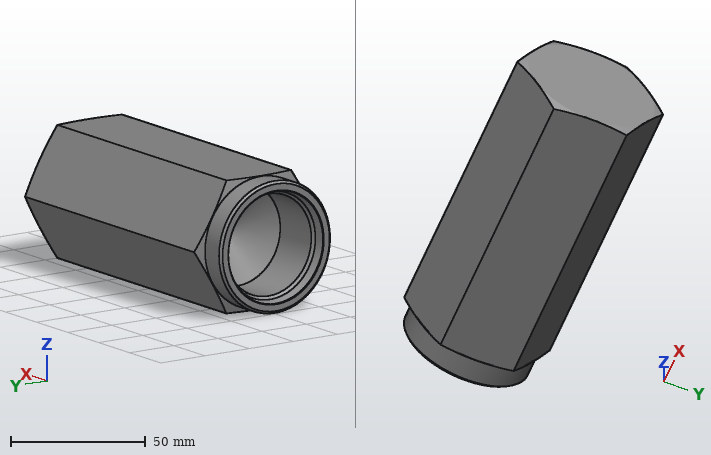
import cadquery as cq
import math

length = 121.4
across_flats = 50.7
hexagon_half_angle = 30.0
across_corners = across_flats / math.cos(math.radians(hexagon_half_angle))

collar_diameter = 50.4
collar_length = 10.0
collar_chamfer = 1.0

corner_trim_angle = 17.0

mouth_diameter = 42.9
mouth_chamfer = 0.2
mouth_end_diameter = 41.2
mouth_depth = 3.9
bore_diameter = 39.0
bore_depth = 25.0
drill_point_angle = 118.0


def revolve_about_x(points):
    """Revolve a closed outline of (x, radius) points about the X axis."""
    return cq.Workplane("XY").polyline(points).close().revolve(360, (0, 0, 0), (1, 0, 0))


def make_hexagon():
    """Hexagonal bar with flats facing up and down and conically trimmed ends."""
    corner_radius = across_corners / 2
    flat_radius = across_flats / 2
    trim_length = (corner_radius - flat_radius) * math.tan(math.radians(corner_trim_angle))
    bar = (
        cq.Workplane("YZ", origin=(collar_length, 0, 0))
        .polygon(6, across_corners)
        .extrude(length - collar_length)
    )
    envelope = revolve_about_x([
        (collar_length, 0),
        (collar_length, flat_radius),
        (collar_length + trim_length, corner_radius),
        (length - trim_length, corner_radius),
        (length, flat_radius),
        (length, 0),
    ])
    return bar.intersect(envelope)


def make_collar():
    """Round collar with a chamfered front rim."""
    collar = cq.Workplane("YZ").circle(collar_diameter / 2).extrude(collar_length)
    return collar.faces("<X").edges().chamfer(collar_chamfer)


def make_bore():
    """Chamfered and tapered mouth, 45 degree step, straight bore and drill point."""
    mouth_radius = mouth_diameter / 2
    mouth_end_radius = mouth_end_diameter / 2
    bore_radius = bore_diameter / 2
    step_length = mouth_end_radius - bore_radius
    point_length = bore_radius / math.tan(math.radians(drill_point_angle / 2))
    return revolve_about_x([
        (0, 0),
        (0, mouth_radius + mouth_chamfer),
        (mouth_chamfer, mouth_radius),
        (mouth_depth, mouth_end_radius),
        (mouth_depth + step_length, bore_radius),
        (bore_depth, bore_radius),
        (bore_depth + point_length, 0),
    ])


result = make_hexagon().union(make_collar()).cut(make_bore())